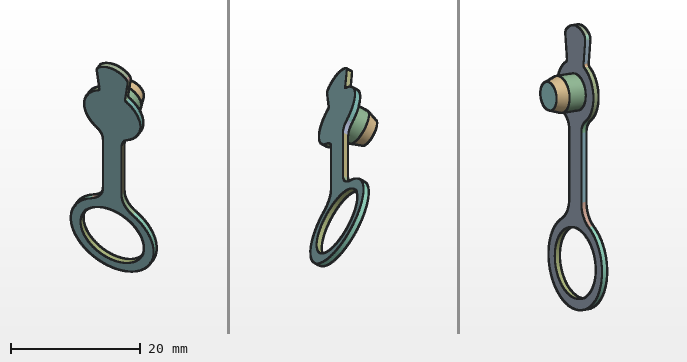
import cadquery as cq
import math

total_height = 45.0
plate_thickness = 1.0

ring_outer_radius = 14.7 / 2
ring_inner_radius = 11.2 / 2

strap_half_width = 3.35 / 2
strap_ring_fillet = 4.0
strap_disc_fillet = 2.5

disc_radius = 10.0 / 2

tab_height = 10.55
tab_tip_radius = 3.37
tab_tip_half_width = 2.8
tab_base_half_width = 1.7
tab_corner_fillet = 1.0
tab_neck_fillet = 0.5

plug_radius = 5.8 / 2
plug_end_radius = 4.5 / 2
plug_taper_length = 2.0
plug_length = 6.0 - plate_thickness

disc_z = total_height - ring_outer_radius - tab_height
tab_tip_z = disc_z + tab_height
tab_corner_z = (
    tab_tip_z - tab_tip_radius + math.sqrt(tab_tip_radius**2 - tab_tip_half_width**2)
)


def plate_sketch():
    """XZ workplane whose extrusion by a negative distance runs toward +Y."""
    return cq.Workplane("XZ")


def plate_disc(radius, z):
    return plate_sketch().center(0, z).circle(radius).extrude(-plate_thickness)


def make_strap():
    return (
        plate_sketch()
        .center(0, disc_z / 2)
        .rect(2 * strap_half_width, disc_z)
        .extrude(-plate_thickness)
    )


def make_tab():
    """Flared pull tab with an arched tip."""
    return (
        plate_sketch()
        .moveTo(-tab_base_half_width, disc_z)
        .lineTo(-tab_tip_half_width, tab_corner_z)
        .threePointArc((0, tab_tip_z), (tab_tip_half_width, tab_corner_z))
        .lineTo(tab_base_half_width, disc_z)
        .close()
        .extrude(-plate_thickness)
    )


def neck_point():
    """Half width and height where the tab's straight side leaves the disc."""
    rise = tab_corner_z - disc_z
    slope = (tab_tip_half_width - tab_base_half_width) / rise
    a = 1 + slope**2
    b = 2 * slope * tab_base_half_width
    c = tab_base_half_width**2 - disc_radius**2
    height = (-b + math.sqrt(b**2 - 4 * a * c)) / (2 * a)
    return tab_base_half_width + slope * height, disc_z + height


def round_corner_pair(plate, x, z, radius):
    """Round the two mirrored plate edges that run through (+/-x, z)."""
    for side in (-1, 1):
        corner = (side * x, plate_thickness / 2, z)
        edge = cq.selectors.NearestToPointSelector(corner)
        plate = plate.edges("|Y").edges(edge).fillet(radius)
    return plate


def make_plate():
    plate = (
        plate_disc(ring_outer_radius, 0)
        .union(make_strap())
        .union(plate_disc(disc_radius, disc_z))
        .union(make_tab())
    )
    strap_ring_z = math.sqrt(ring_outer_radius**2 - strap_half_width**2)
    strap_disc_z = disc_z - math.sqrt(disc_radius**2 - strap_half_width**2)
    neck_half_width, neck_z = neck_point()

    plate = round_corner_pair(plate, strap_half_width, strap_ring_z, strap_ring_fillet)
    plate = round_corner_pair(plate, strap_half_width, strap_disc_z, strap_disc_fillet)
    plate = round_corner_pair(plate, neck_half_width, neck_z, tab_neck_fillet)
    plate = round_corner_pair(plate, tab_tip_half_width, tab_corner_z, tab_corner_fillet)
    return plate.cut(plate_disc(ring_inner_radius, 0))


def make_plug():
    """Round plug with a tapered end, revolved about its own Y axis."""
    plug_end_y = plate_thickness + plug_length
    return (
        cq.Workplane("XY")
        .polyline([
            (0, 0),
            (plug_radius, 0),
            (plug_radius, plug_end_y - plug_taper_length),
            (plug_end_radius, plug_end_y),
            (0, plug_end_y),
        ])
        .close()
        .revolve(360, (0, 0), (0, 1))
        .translate((0, 0, disc_z))
    )


result = make_plate().union(make_plug())